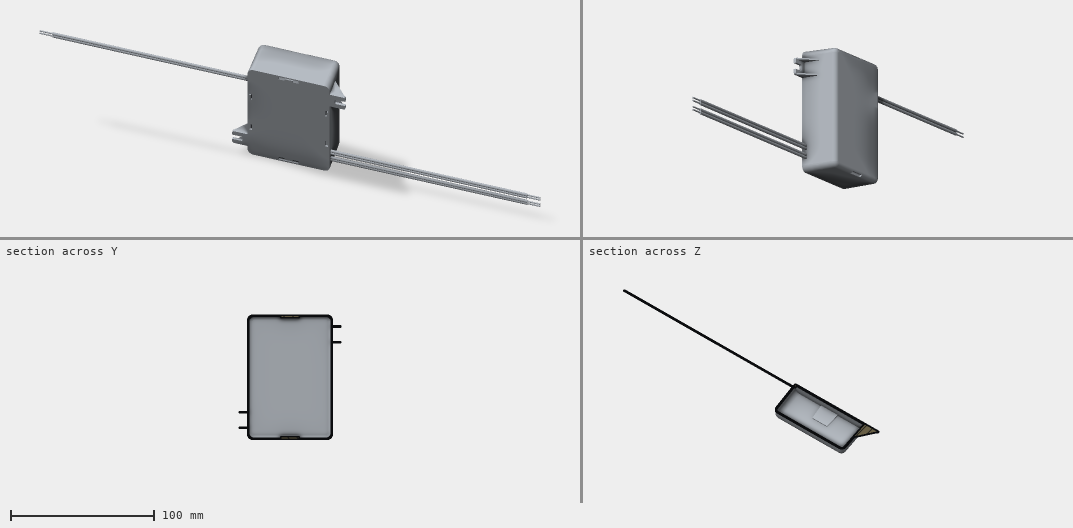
import cadquery as cq

OVERALL_LENGTH = 364.0
DEPTH = 27.3
HEIGHT = 87.0
WIDTH = 59.5
FRONT_Y = -DEPTH / 2
BACK_Y = DEPTH / 2

DRAFT_ANGLE = 1.0
WALL = 1.0
CORNER_RADIUS = 4.5
BACK_FILLET = 3.3
BACK_SLOT_WIDTH = 12.5
BACK_SLOT_REACH = 2.2
BACK_SLOT_DEPTH = 2.2

EAR_TIP_X = 41.0
EAR_Z = 30.0
EAR_HEIGHT = 12.0
EAR_THICKNESS = 2.0
EAR_CORNER_RADIUS = 1.5
EAR_SLOT_WIDTH = 4.5
EAR_SLOT_END_X = 33.5
EAR_SLOT_RADIUS = 1.0
GUSSET_THICKNESS = 1.0
GUSSET_TOP_Y = 0.0
GUSSET_TIP_X = 40.0

COVER_THICKNESS = 1.27
SNAP_TOP_Y = -0.5
SNAP_TOP_WIDTH = 12.5
SNAP_ROOT_WIDTH = 14.2
SNAP_THICKNESS = 2.2
RELIEF_WIDTH = 4.5
RELIEF_X = 5.0
RELIEF_DROP = 2.5
MIDDLE_RELIEF_DROP = 1.0
GATE_ROOT = 1.0

LUG_Z = 15.0
LUG_HEIGHT = 4.5
LUG_REACH = 1.0
NOTCH_REACH = 2.2
LUG_PLACES = [(-1, -1), (-1, 1), (1, -1), (1, 1)]
NOTCH_CLEARANCE = 1.0

WIRE_DIAMETER = 2.1
CORE_DIAMETER = 1.0
STRIPPED_LENGTH = 9.5
WIRE_Y = -10.5
LEFT_PAIR_Z = 30.2
LEFT_WIRE_SPACING = 2.35
RIGHT_WIRE_SPACING = WIRE_DIAMETER
LOWEST_PAIR_RISE = 10.5
RIGHT_PAIR_PITCH = 6.5
LOWER_PAIR_Z = LOWEST_PAIR_RISE - HEIGHT / 2
RIGHT_PAIRS_Z = [LOWER_PAIR_Z, LOWER_PAIR_Z + RIGHT_PAIR_PITCH]

COVER_BACK_Y = FRONT_Y + COVER_THICKNESS
INNER_HALF_WIDTH = WIDTH / 2 - WALL
INNER_HALF_HEIGHT = HEIGHT / 2 - WALL


def box_between(x_range, y_range, z_range):
    """Box with the given limits along each axis, in either order."""
    ranges = (x_range, y_range, z_range)
    sizes = [abs(high - low) for low, high in ranges]
    middle = tuple((low + high) / 2 for low, high in ranges)
    return cq.Workplane("XY").box(*sizes).translate(middle)


def rounded_block(width, height, radius, depth, draft):
    """Block with rounded corners that runs from the front face towards +Y."""
    front_plane = cq.Plane(origin=(0, FRONT_Y, 0), xDir=(1, 0, 0), normal=(0, 1, 0))
    outline = cq.Sketch().rect(width, height).vertices().fillet(radius)
    return cq.Workplane(front_plane).placeSketch(outline).extrude(depth, taper=draft)


def housing_envelope():
    block = rounded_block(WIDTH, HEIGHT, CORNER_RADIUS, DEPTH, DRAFT_ANGLE)
    return block.faces(">Y").edges().fillet(BACK_FILLET)


def housing_cavity():
    block = rounded_block(
        WIDTH - 2 * WALL, HEIGHT - 2 * WALL, CORNER_RADIUS - WALL, DEPTH - WALL, DRAFT_ANGLE
    )
    return block.faces(">Y").edges().fillet(BACK_FILLET - WALL)


def upper_right_ear():
    """Slotted ear with a gusset along its upper and its lower edge."""
    root_x = INNER_HALF_WIDTH
    z_low = EAR_Z - EAR_HEIGHT / 2
    z_high = EAR_Z + EAR_HEIGHT / 2
    ear_back_y = FRONT_Y + EAR_THICKNESS
    ear = box_between((root_x, EAR_TIP_X), (FRONT_Y, ear_back_y), (z_low, z_high))
    ear = ear.edges("|Y and >X").fillet(EAR_CORNER_RADIUS)

    slot_half = EAR_SLOT_WIDTH / 2
    slot = box_between(
        (EAR_SLOT_END_X, EAR_TIP_X + EAR_SLOT_WIDTH),
        (FRONT_Y, ear_back_y),
        (EAR_Z - slot_half, EAR_Z + slot_half),
    )
    ear = ear.cut(slot.edges("|Y and <X").fillet(EAR_SLOT_RADIUS))

    gusset_outline = [
        (root_x, FRONT_Y),
        (GUSSET_TIP_X, FRONT_Y),
        (GUSSET_TIP_X, ear_back_y),
        (WIDTH / 2, GUSSET_TOP_Y),
        (root_x, GUSSET_TOP_Y),
    ]
    for z_start in (z_low, z_high - GUSSET_THICKNESS):
        plate = cq.Workplane("XY", origin=(0, 0, z_start)).polyline(gusset_outline).close()
        ear = ear.union(plate.extrude(GUSSET_THICKNESS))
    return ear


def upper_snap(envelope):
    """Tapered snap tongue that stands on the cover and fills the window in the top wall."""
    outline = [
        (-SNAP_ROOT_WIDTH / 2, COVER_BACK_Y),
        (SNAP_ROOT_WIDTH / 2, COVER_BACK_Y),
        (SNAP_TOP_WIDTH / 2, SNAP_TOP_Y),
        (-SNAP_TOP_WIDTH / 2, SNAP_TOP_Y),
    ]
    base = cq.Workplane("XY", origin=(0, 0, HEIGHT / 2 - SNAP_THICKNESS))
    return base.polyline(outline).close().extrude(SNAP_THICKNESS).intersect(envelope)


def upper_relief(x_middle, width, drop):
    """Sloped cut in the upper edge of the cover, deepest at the front face."""
    outline = [
        (FRONT_Y, INNER_HALF_HEIGHT),
        (FRONT_Y, INNER_HALF_HEIGHT - drop),
        (COVER_BACK_Y, INNER_HALF_HEIGHT),
    ]
    plane = cq.Workplane("YZ", origin=(x_middle, 0, 0))
    return plane.polyline(outline).close().extrude(width / 2, both=True)


def upper_reliefs():
    """Shallow relief in front of the snap's middle, with a deeper one at each side."""
    middle_width = 2 * RELIEF_X - RELIEF_WIDTH
    reliefs = upper_relief(0, middle_width, MIDDLE_RELIEF_DROP)
    for x_middle in (-RELIEF_X, RELIEF_X):
        reliefs = reliefs.union(upper_relief(x_middle, RELIEF_WIDTH, RELIEF_DROP))
    return reliefs


def side_block(side, level, reach, height, extra=0.0):
    """Block inward from a side wall at a lug; extra lengthens it away from mid-height."""
    z_near = LUG_Z - height / 2
    z_far = LUG_Z + height / 2 + extra
    return box_between(
        (side * INNER_HALF_WIDTH, side * (INNER_HALF_WIDTH - reach)),
        (FRONT_Y, COVER_BACK_Y),
        (level * z_near, level * z_far),
    )


def wire_heights(pair_middles, spacing):
    """Heights of the centres of all the wires in pairs at the given middle heights."""
    heights = []
    for middle_z in pair_middles:
        heights += [middle_z - spacing / 2, middle_z + spacing / 2]
    return heights


def rod(side, z, diameter, x_start, x_end):
    """Round rod along X at the depth of the wires, at one side of the housing."""
    plane = cq.Workplane("YZ", origin=(side * x_start, WIRE_Y, z))
    return plane.circle(diameter / 2).extrude(side * (x_end - x_start))


def make_wire(side, z):
    tip_x = OVERALL_LENGTH / 2
    insulation = rod(side, z, WIRE_DIAMETER, INNER_HALF_WIDTH, tip_x - STRIPPED_LENGTH)
    core = rod(side, z, CORE_DIAMETER, tip_x - STRIPPED_LENGTH, tip_x)
    return insulation.union(core)


def wire_gate(side, heights):
    """Block through the side wall, from the front face to the middle of the wires.

    It starts inside the cavity, so that as part of the cover it stands on the cover plate.
    """
    z_low = min(heights) - WIRE_DIAMETER / 2
    z_high = max(heights) + WIRE_DIAMETER / 2
    return box_between(
        (side * (INNER_HALF_WIDTH - GATE_ROOT), side * WIDTH / 2),
        (FRONT_Y, WIRE_Y),
        (z_low, z_high),
    )


def upper_back_slot():
    """Slot in the upper back edge, in line with the snap, that opens into the cavity."""
    return box_between(
        (-BACK_SLOT_WIDTH / 2, BACK_SLOT_WIDTH / 2),
        (BACK_Y - BACK_SLOT_REACH, BACK_Y),
        (HEIGHT / 2 - BACK_SLOT_DEPTH, HEIGHT / 2),
    )


def half_turn(body):
    """The same body turned half a revolution about the Y axis."""
    return body.rotate((0, 0, 0), (0, 1, 0), 180)


def both_ends(body):
    """A top-end body together with its half-turned copy at the other end."""
    return body.union(half_turn(body))


def make_housing(envelope, snaps, gates, wires):
    cavity = housing_cavity()
    housing = envelope.union(both_ends(upper_right_ear())).cut(cavity)
    for side, level in LUG_PLACES:
        housing = housing.union(side_block(side, level, LUG_REACH, LUG_HEIGHT))
    housing = housing.cut(both_ends(upper_back_slot())).cut(snaps)
    for passage in gates + wires:
        housing = housing.cut(passage)
    return housing


def make_cover(envelope, snaps, gates, wires):
    cover = rounded_block(
        WIDTH - 2 * WALL, HEIGHT - 2 * WALL, CORNER_RADIUS - WALL, COVER_THICKNESS, DRAFT_ANGLE
    )
    cover = cover.cut(both_ends(upper_reliefs()))
    for side, level in LUG_PLACES:
        cover = cover.cut(side_block(side, level, NOTCH_REACH, LUG_HEIGHT, NOTCH_CLEARANCE))
    cover = cover.union(snaps)
    for gate in gates:
        cover = cover.union(gate.intersect(envelope))
    for wire in wires:
        cover = cover.cut(wire)
    return cover


envelope = housing_envelope()
snaps = both_ends(upper_snap(envelope))
left_heights = wire_heights([LEFT_PAIR_Z], LEFT_WIRE_SPACING)
right_heights = wire_heights(RIGHT_PAIRS_Z, RIGHT_WIRE_SPACING)
gates = []
wires = []
for side, heights in ((-1, left_heights), (1, right_heights)):
    gates.append(wire_gate(side, heights))
    for height in heights:
        wires.append(make_wire(side, height))
housing = make_housing(envelope, snaps, gates, wires)
cover = make_cover(envelope, snaps, gates, wires)

result = cq.Compound.makeCompound([housing.val(), cover.val(), *[wire.val() for wire in wires]])